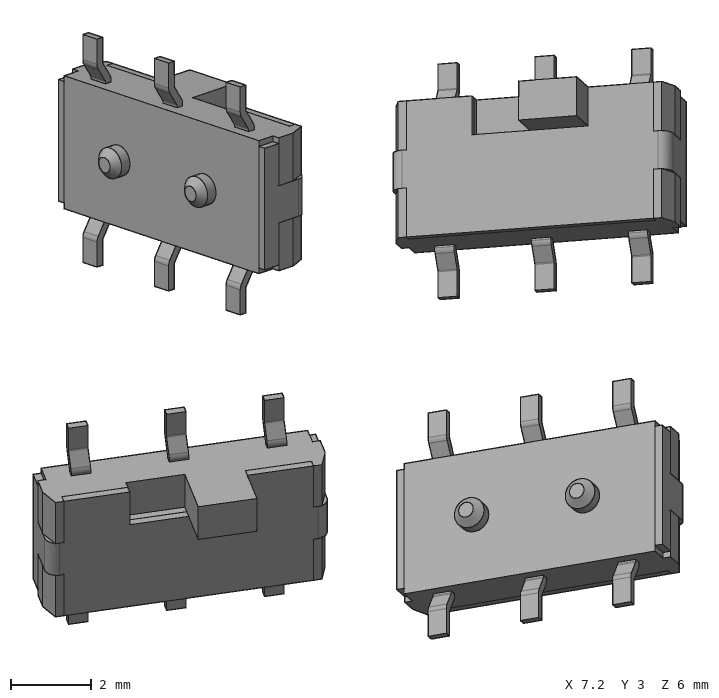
import cadquery as cq
import math


length = 7.2
height = 3.5
depth = 1.5
end_chamfer_x = 0.2
end_chamfer_y = 0.5

peg_spacing = 3.0
peg_diameter = 0.8
peg_length = 0.5
peg_chamfer = 0.2

overall_depth = 3.0
slot_length = 2.995
knob_length = slot_length / 2
knob_height = 1.0
slot_depth = 0.4

sheet = 0.2
plate_length = 6.365
band_height = 0.98
bend_radius = 0.3
foot_height = 3.2
foot_depth = 0.5

lead_span = 6.0
lead_width = 0.5
lead_pitch = 2.5
lead_thickness = 0.2
lead_exit_depth = 0.5
outer_bend_z = 2.26
inner_bend_z = 1.815
lead_inner_radius = 0.05

half_length = length / 2
half_height = height / 2
knob_top = overall_depth - peg_length
knob_low_z = half_height - knob_height
slot_floor = depth - slot_depth
inner_end = half_length - sheet
plate_front = depth - sheet
end_ranges = ((-half_length, -inner_end), (inner_end, half_length))


def block(x_range, y_range, z_range):
    """Box spanning the given (low, high) ranges."""
    ranges = (x_range, y_range, z_range)
    size = [high - low for low, high in ranges]
    corner = tuple(low for low, high in ranges)
    return cq.Workplane().box(*size, centered=False).translate(corner)


def centred(span):
    """Range of the given span, centred on zero."""
    return (-span / 2, span / 2)


def slot_block(front, back):
    """Full slot, open at the top, between two depths."""
    return block(centred(slot_length), (front, back), (knob_low_z, half_height))


def make_clip_core():
    """Stretch of housing that the cover strip wraps around."""
    core = block(centred(2 * inner_end), (0, plate_front), centred(band_height))
    return core.edges("|Z and >Y").fillet(bend_radius - sheet)


def make_clip_strip():
    """Strip of sheet that runs over the back and down both ends, with rounded bends."""
    outside = block(centred(length), (0, depth), centred(band_height))
    outside = outside.edges("|Z and >Y").fillet(bend_radius)
    return outside.cut(make_clip_core())


def make_cover_plate():
    """Back plate over the full housing height."""
    return block(centred(plate_length), (plate_front, depth), centred(height))


def make_cover():
    cover = make_cover_plate().union(make_clip_strip())
    for x_range in end_ranges:
        cover = cover.union(block(x_range, (0, foot_depth), centred(foot_height)))
    return cover.cut(slot_block(plate_front, depth))


def make_peg(x):
    peg = cq.Workplane("XZ").center(x, 0).circle(peg_diameter / 2).extrude(peg_length)
    return peg.faces("<Y").chamfer(peg_chamfer)


def make_housing_blank():
    """Block with its two back end edges chamfered."""
    chamfer_start = depth - end_chamfer_y
    back_end = half_length - end_chamfer_x
    outline = [
        (-half_length, 0),
        (half_length, 0),
        (half_length, chamfer_start),
        (back_end, depth),
        (-back_end, depth),
        (-half_length, chamfer_start),
    ]
    blank = cq.Workplane("XY").polyline(outline).close().extrude(height)
    return blank.translate((0, 0, -half_height))


def make_housing():
    housing = make_housing_blank()
    for x_range in end_ranges:
        housing = housing.cut(block(x_range, (0, foot_depth), centred(height)))
    strip_space = block(centred(length), (0, depth), centred(band_height))
    housing = housing.cut(strip_space.cut(make_clip_core()))
    housing = housing.cut(make_cover_plate())
    housing = housing.cut(slot_block(slot_floor, depth))
    knob = block((-knob_length, 0), (slot_floor, knob_top), (knob_low_z, half_height))
    housing = housing.union(knob)
    for x in centred(peg_spacing):
        housing = housing.union(make_peg(x))
    return housing


def make_lead(x, side):
    """Joggled lead leaving the top (side = 1) or bottom (side = -1) of the housing."""
    tip_z = lead_span / 2
    exit_back = lead_exit_depth
    exit_front = lead_exit_depth - lead_thickness
    lean = math.atan2(exit_front, outer_bend_z - inner_bend_z)
    miter = lead_thickness * math.tan(lean / 2)
    outline = [
        (exit_front, half_height),
        (exit_front, inner_bend_z),
        (0, outer_bend_z),
        (0, tip_z),
        (lead_thickness, tip_z),
        (lead_thickness, outer_bend_z + miter),
        (exit_back, inner_bend_z + miter),
        (exit_back, half_height),
    ]
    lead = cq.Workplane("YZ").polyline(outline).close().extrude(lead_width / 2, both=True)
    inner_corners = (outline[1], outline[5])
    outer_corners = (outline[2], outline[6])
    outer_radius = lead_inner_radius + lead_thickness
    for corners, radius in ((inner_corners, lead_inner_radius), (outer_corners, outer_radius)):
        for y, z in corners:
            lead = lead.edges(cq.selectors.NearestToPointSelector((0, y, z))).fillet(radius)
    if side < 0:
        lead = lead.mirror("XY")
    return lead.translate((x, 0, 0))


cover = make_cover()
housing = make_housing()
leads = [make_lead(column * lead_pitch, side) for side in (1, -1) for column in (-1, 0, 1)]
bodies = [housing, cover, *leads]

result = cq.Compound.makeCompound([body.solids().val() for body in bodies])